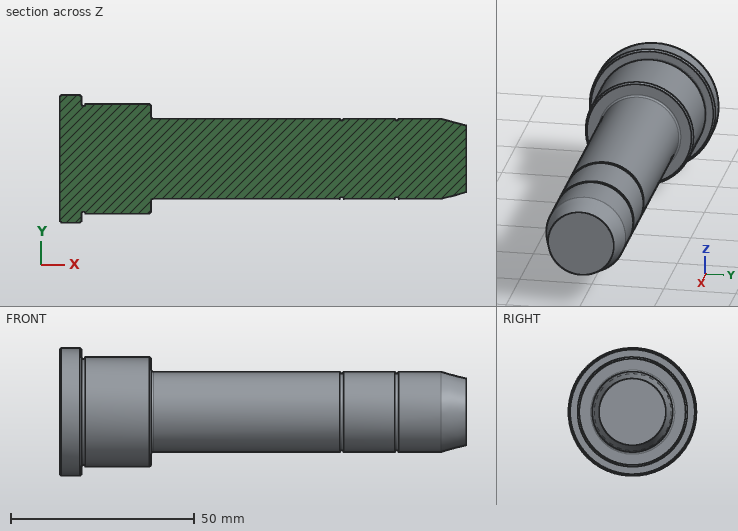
import cadquery as cq
import math

total_length = 111.0

head_diameter = 35.0
head_thickness = 6.0
head_chamfer = 0.5

collar_diameter = 30.0
collar_end = 25.0
collar_chamfer = 0.5

undercut_width = 1.0
undercut_depth = 0.5

shank_diameter = 22.0
shank_fillet_radius = 0.5

tip_length = 7.0
tip_angle = 15.0

groove_width = 1.0
groove_depth = groove_width / 2
groove_count = 2
groove_pitch = 15.0
first_groove_center = 77.0


def cylinder_along_x(diameter, start, end):
    return cq.Workplane("YZ", origin=(start, 0, 0)).circle(diameter / 2).extrude(end - start)


def make_head():
    head = cylinder_along_x(head_diameter, 0, head_thickness)
    return head.edges().chamfer(head_chamfer)


def make_collar():
    collar = cylinder_along_x(collar_diameter, head_thickness, collar_end)
    return collar.faces(">X").edges().chamfer(collar_chamfer)


def make_shank():
    """Shank with a conical lead-in at its free end."""
    tip_drop = tip_length * math.tan(math.radians(tip_angle))
    shank_radius = shank_diameter / 2
    profile = (
        cq.Workplane("XY")
        .moveTo(collar_end, 0)
        .lineTo(collar_end, shank_radius)
        .lineTo(total_length - tip_length, shank_radius)
        .lineTo(total_length, shank_radius - tip_drop)
        .lineTo(total_length, 0)
        .close()
    )
    return profile.revolve(360, (0, 0, 0), (1, 0, 0))


def make_shank_fillet():
    """Concave ring blending the collar face into the shank."""
    inner_radius = shank_diameter / 2
    radius = shank_fillet_radius
    arc_offset = radius * (1 - math.sqrt(0.5))
    profile = (
        cq.Workplane("XY")
        .moveTo(collar_end, inner_radius)
        .lineTo(collar_end, inner_radius + radius)
        .threePointArc(
            (collar_end + arc_offset, inner_radius + arc_offset),
            (collar_end + radius, inner_radius),
        )
        .close()
    )
    return profile.revolve(360, (0, 0, 0), (1, 0, 0))


def round_groove(diameter, center, width, depth):
    """Ring cutter that leaves an arc-shaped groove in a cylinder."""
    surface_radius = diameter / 2
    profile = (
        cq.Workplane("XY")
        .moveTo(center - width / 2, surface_radius)
        .threePointArc((center, surface_radius - depth), (center + width / 2, surface_radius))
        .close()
    )
    return profile.revolve(360, (0, 0, 0), (1, 0, 0))


result = make_head().union(make_collar()).union(make_shank()).union(make_shank_fillet())

undercut_center = head_thickness + undercut_width / 2
result = result.cut(round_groove(collar_diameter, undercut_center, undercut_width, undercut_depth))

for index in range(groove_count):
    groove_center = first_groove_center + index * groove_pitch
    result = result.cut(round_groove(shank_diameter, groove_center, groove_width, groove_depth))